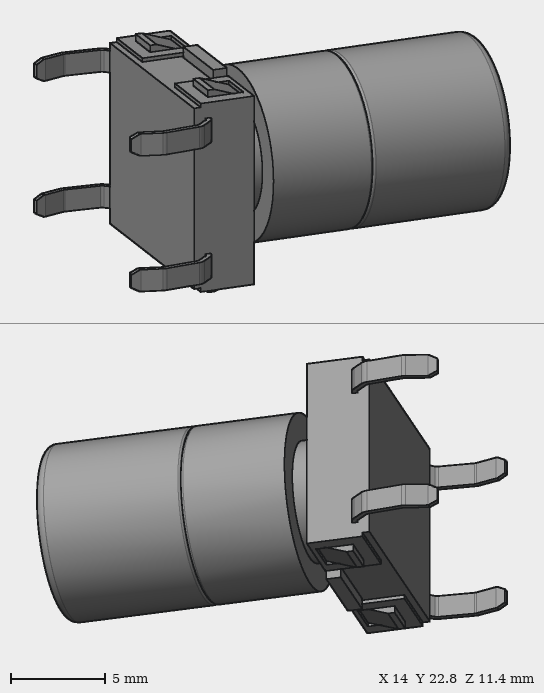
import cadquery as cq


width = 11.4
base_depth = 3.47
core_height = 10.2
pad_height = 10.63
pad_rear = 0.39
pad_inner_x = 2.2

overall_height = width
bar_width = 4.02
bar_depth = 0.8
wedge_width = 1.99
wedge_center_x = 3.9
wedge_rear = 1.15
wedge_crest_front = 1.5
wedge_front = 3.2

neck_diameter = 6.6
neck_length = 1.5
button_diameter = 9.6
button_front = 18.83
button_edge_radius = 0.48
groove_y = 10.76
groove_lip_radius = 0.14

leg_thickness = 0.3
leg_width = 1.23
leg_spacing = 7.65
leg_root_x = -5.25
leg_corners = [(-5.95, 0.8), (-6.67, -0.05), (-6.85, -2.25)]
leg_tip_bend = (-6.51, -3.47)
leg_tip = (-6.45, -4.0)
leg_bend_radius = 0.45
leg_taper_start = -3.55
leg_taper_end = -4.02
leg_tip_width = 0.73


def block(x_range, y_range, z_range):
    """Box between the given limits."""
    (x0, x1), (y0, y1), (z0, z1) = x_range, y_range, z_range
    return cq.Workplane("XY").box(x1 - x0, y1 - y0, z1 - z0, centered=False).translate((x0, y0, z0))


def make_pad():
    """Raised corner pad at +X +Z, with a sloped wedge rising out of a pocket."""
    core_top = core_height / 2
    outer_top = overall_height / 2
    wedge_x = (wedge_center_x - wedge_width / 2, wedge_center_x + wedge_width / 2)
    pad = block((pad_inner_x, width / 2), (pad_rear, base_depth), (0, pad_height / 2))
    pocket = block(wedge_x, (wedge_rear, wedge_front), (core_top, outer_top))
    wedge = (
        cq.Workplane("YZ", origin=(wedge_x[0], 0, 0))
        .moveTo(wedge_rear, 0)
        .lineTo(wedge_rear, outer_top)
        .lineTo(wedge_crest_front, outer_top)
        .lineTo(wedge_front, core_top)
        .lineTo(wedge_front, 0)
        .close()
        .extrude(wedge_width)
    )
    return pad.cut(pocket).union(wedge)


def make_base():
    """Rectangular core with four pads and two key bars."""
    base = block((-width / 2, width / 2), (0, base_depth), (-core_height / 2, core_height / 2))
    bars = block(
        (-bar_width / 2, bar_width / 2),
        (base_depth - bar_depth, base_depth),
        (-overall_height / 2, overall_height / 2),
    )
    pad = make_pad()
    pads = pad.union(pad.mirror("YZ"))
    return base.union(bars).union(pads).union(pads.mirror("XY"))


def make_button():
    """Neck and button, with a fine groove between two rounded lips."""
    neck_radius = neck_diameter / 2
    button_radius = button_diameter / 2
    button_rear = base_depth + neck_length
    lip = groove_lip_radius
    edge = button_edge_radius
    return (
        cq.Workplane("XY")
        .moveTo(0, base_depth)
        .lineTo(neck_radius, base_depth)
        .lineTo(neck_radius, button_rear)
        .lineTo(button_radius, button_rear)
        .lineTo(button_radius, groove_y - lip)
        .radiusArc((button_radius - lip, groove_y), -lip)
        .radiusArc((button_radius, groove_y + lip), -lip)
        .lineTo(button_radius, button_front - edge)
        .radiusArc((button_radius - edge, button_front), -edge)
        .lineTo(0, button_front)
        .close()
        .revolve(360, (0, 0, 0), (0, 1, 0))
    )


def make_leg():
    """Bent flat leg at -X +Z, with a tapered tip."""
    root = (leg_root_x, leg_corners[0][1])
    points = [cq.Vector(x, y) for x, y in [root, *leg_corners, leg_tip_bend, leg_tip]]
    centreline = cq.Wire.makePolygon(points)
    bends = [v for v in centreline.Vertices() if (v.X, v.Y) in leg_corners]
    centreline = centreline.fillet2D(leg_bend_radius, bends)
    strip = (
        cq.Workplane("YZ", origin=(*root, 0))
        .rect(leg_thickness, leg_width)
        .sweep(cq.Workplane(centreline), transition="right")
    )
    outline = (
        cq.Workplane("YZ", origin=(-width, 0, 0))
        .moveTo(base_depth, leg_width / 2)
        .lineTo(leg_taper_start, leg_width / 2)
        .lineTo(leg_taper_end, leg_tip_width / 2)
        .lineTo(leg_taper_end, -leg_tip_width / 2)
        .lineTo(leg_taper_start, -leg_width / 2)
        .lineTo(base_depth, -leg_width / 2)
        .close()
        .extrude(width)
    )
    return strip.intersect(outline).translate((0, 0, leg_spacing / 2))


leg = make_leg()
side_legs = leg.union(leg.mirror("XY"))

result = make_base().union(make_button()).union(side_legs).union(side_legs.mirror("YZ"))